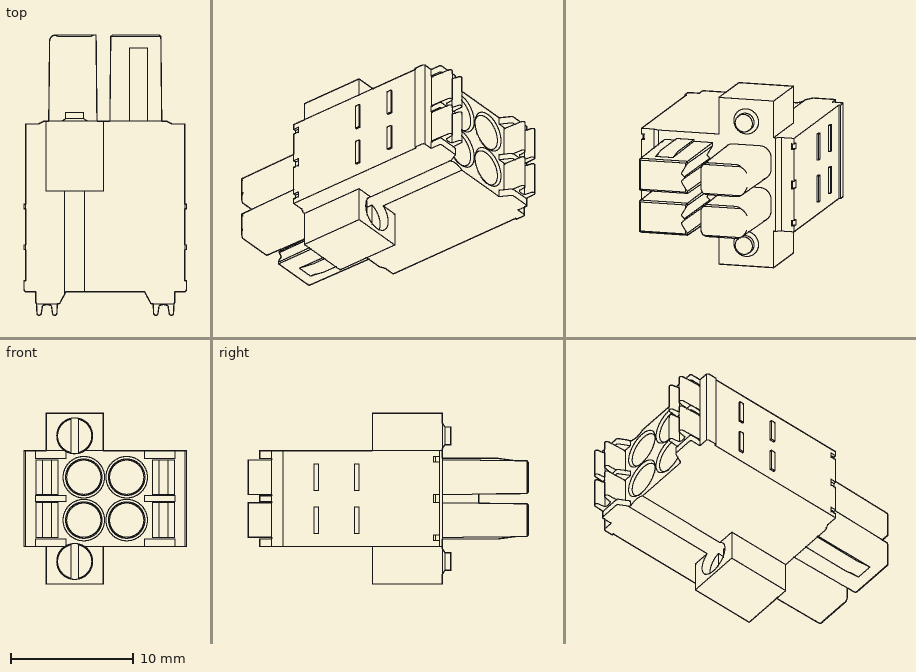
import cadquery as cq
import math

length = 22.95
width = 13.3
height = 14.0

y_front = -length / 2
y_back = length / 2

housing_width = 13.04
housing_height = 7.85
housing_front = -9.55
housing_back = 4.43
shoulder_step = 0.23
shoulder_slope_outer = 5.46
shoulder_slope_inner = 5.0
flange_length = 0.92
flange_round = 0.2

rib_thickness = 0.4
rib_height = 2.18
rib_ys = (-2.57, -5.9)
notch_depth = 0.23
notch_ramp = 0.18
notch_front = 3.7
notches = ((-3.21, 0.45), (0.0, 0.65), (3.21, 0.45))

pitch = 3.5
row_z = pitch / 2
entry_radius = 1.5
entry_mouth_radius = 1.7
entry_floor_radius = 1.4
entry_bore_depth = 1.55
entry_depth = 2.02

tab_outer = 5.7
tab_foot = 3.21
tab_tip = 3.75
tab_front = -10.53
tab_round = 0.14
outer_tab_height = 0.65
middle_tab_height = 0.5

contact_x = 4.77
contact_height = 2.85
fork_root_half_width = 0.92
fork_tip_half_width = 0.83
fork_gap = 0.7
fork_tip_gap = 0.9
fork_gap_edge = -10.7
fork_gap_crown = -10.6

screw_x = -2.5
screw_z = 5.15
block_width = 4.68
block_length = 5.74
bore_radius = 1.47
head_radius = 1.4
head_recess = 0.78
slot_width = 0.65
slot_depth = 0.65
shank_radius = 0.73
shank_end = 5.12
collar_radius = 1.05
collar_length = 0.2

plug_height = 2.85
plug_draft = 0.6
plug_tip_bevel = 0.2
round_plug_left = -4.64
round_plug_right = -0.67
round_plug_left_radius = 0.96
round_plug_right_radius = 0.67
round_plug_tip_radius = 0.5
keyed_plug_left = 0.37
keyed_plug_right = 4.64
keyed_plug_round = 0.28
key_lip = 0.28
key_groove_depth = 0.48
key_groove_offset = 0.35
key_ridge_height = 0.25
key_ridge_half_width = 0.1

latch_x = 2.7
latch_width = 1.47
latch_height = 0.14
latch_ramp_start = 10.4
latch_ramp_end = 8.93
bridge_end = 7.41
bridge_bevel = 0.23

side_x = housing_width / 2
top_z = housing_height / 2
overlap = 0.23


def box(x0, x1, y0, y1, z0, z1):
    return cq.Workplane("XY").box(x1 - x0, y1 - y0, z1 - z0, centered=False).translate((x0, y0, z0))


def plate(points, z_centre, thickness):
    """Prism of an XY outline, centred on a height."""
    outline = cq.Workplane("XY").workplane(offset=z_centre - thickness / 2).polyline(points).close()
    return outline.extrude(thickness)


def rod(x, z, radius, y0, y1):
    return cq.Workplane("XZ", origin=(x, y0, z)).circle(radius).extrude(y0 - y1)


def cone(x, z, radius0, radius1, y0, y1):
    return cq.Workplane(cq.Solid.makeCone(radius0, radius1, y1 - y0, cq.Vector(x, y0, z), cq.Vector(0, 1, 0)))


def both_sides(part):
    return part.union(part.mirror("YZ"))


def make_housing():
    shoulder = housing_back - shoulder_step
    half = [(0, housing_front), (side_x, housing_front), (side_x, shoulder),
            (shoulder_slope_outer, shoulder), (shoulder_slope_inner, housing_back), (0, housing_back)]
    flange = box(-width / 2, width / 2, housing_front, housing_front + flange_length, -top_z, top_z)
    flange = flange.edges("|Z and <Y").fillet(flange_round)
    return both_sides(plate(half, 0, housing_height)).union(flange)


def make_side_ribs():
    """Bars through the housing that stand out of both side walls."""
    ribs = cq.Workplane("XY")
    for y in rib_ys:
        for z in (-row_z, row_z):
            rib = cq.Workplane("XY").box(width, rib_thickness, rib_height)
            ribs = ribs.union(rib.translate((0, y, z)))
    return ribs


def make_side_notches():
    floor_x = side_x - notch_depth
    outline = [(side_x, notch_front), (floor_x, notch_front + notch_ramp),
               (floor_x, housing_back), (side_x, housing_back)]
    cuts = cq.Workplane("XY")
    for z, notch_height in notches:
        cuts = cuts.union(plate(outline, z, notch_height))
    return both_sides(cuts)


def make_entry_holes():
    """Blind holes with a flared mouth and a tapered seat at the floor."""
    mouth_end = housing_front + entry_mouth_radius - entry_radius
    bore_end = housing_front + entry_bore_depth
    floor = housing_front + entry_depth
    holes = cq.Workplane("XY")
    for x in (-pitch / 2, pitch / 2):
        for z in (-row_z, row_z):
            bore = rod(x, z, entry_radius, housing_front, bore_end)
            mouth = cone(x, z, entry_mouth_radius, entry_radius, housing_front, mouth_end)
            seat = cone(x, z, entry_radius, entry_floor_radius, bore_end, floor)
            holes = holes.union(bore).union(mouth).union(seat)
    return holes


def make_tabs():
    root = housing_front + overlap
    outline = [(tab_foot, root), (tab_foot, housing_front), (tab_tip, tab_front),
               (tab_outer, tab_front), (tab_outer, root)]
    outer_z = top_z - outer_tab_height / 2
    tabs = cq.Workplane("XY")
    for z, tab_height in ((-outer_z, outer_tab_height), (0, middle_tab_height), (outer_z, outer_tab_height)):
        tabs = tabs.union(plate(outline, z, tab_height).edges("|Z and <Y").fillet(tab_round))
    return both_sides(tabs)


def make_contacts():
    """Forks with rounded prong tips and a gap whose floor bulges slightly."""
    root = housing_front + overlap
    tip_radius = (fork_tip_half_width - fork_tip_gap / 2) / 2
    tip_start = y_front + tip_radius
    tip_mid = fork_tip_gap / 2 + tip_radius
    contacts = cq.Workplane("XY")
    for z in (-row_z, row_z):
        fork = (
            cq.Workplane("XY", origin=(contact_x, 0, z - contact_height / 2))
            .moveTo(-fork_root_half_width, root)
            .lineTo(-fork_tip_half_width, tip_start)
            .threePointArc((-tip_mid, y_front), (-fork_tip_gap / 2, tip_start))
            .lineTo(-fork_gap / 2, fork_gap_edge)
            .threePointArc((0, fork_gap_crown), (fork_gap / 2, fork_gap_edge))
            .lineTo(fork_tip_gap / 2, tip_start)
            .threePointArc((tip_mid, y_front), (fork_tip_half_width, tip_start))
            .lineTo(fork_root_half_width, root)
            .close()
            .extrude(contact_height)
        )
        contacts = contacts.union(fork)
    return both_sides(contacts)


def add_upper_screw(body):
    """Block on the top wall, its screw bore running to the front as a groove, and the screw."""
    block_front = housing_back - block_length
    head_front = block_front + head_recess
    block = box(screw_x - block_width / 2, screw_x + block_width / 2, block_front, housing_back,
                top_z - overlap, height / 2)
    bore = rod(screw_x, screw_z, bore_radius, tab_front, head_front + slot_depth)
    head = rod(screw_x, screw_z, head_radius, head_front, head_front + slot_depth + overlap)
    slot = box(screw_x - slot_width / 2, screw_x + slot_width / 2, head_front, head_front + slot_depth,
               screw_z - bore_radius, screw_z + bore_radius)
    collar = cone(screw_x, screw_z, collar_radius, shank_radius, housing_back, housing_back + collar_length)
    shank = rod(screw_x, screw_z, shank_radius, housing_back - overlap, shank_end)
    return body.union(block).cut(bore).union(head.cut(slot)).union(collar).union(shank)


def make_plug(outline, tip_limits):
    """Drafted shank of an XZ outline, trimmed to the tip shape."""
    return outline.extrude(housing_back - overlap - y_back, taper=plug_draft).intersect(tip_limits)


def plug_plane():
    return cq.Workplane("XZ", origin=(0, housing_back - overlap, row_z))


def draft_inset(distance):
    """Amount by which a drafted side has moved inwards over a distance."""
    return distance * math.tan(math.radians(plug_draft))


def make_round_plug():
    outline = plug_plane().center((round_plug_left + round_plug_right) / 2, 0)
    half_width = (round_plug_right - round_plug_left) / 2
    half = plug_height / 2
    left_flat = half - round_plug_left_radius
    right_flat = half - round_plug_right_radius
    outline = (
        outline.moveTo(-half_width + round_plug_left_radius, half)
        .lineTo(half_width - round_plug_right_radius, half)
        .radiusArc((half_width, right_flat), round_plug_right_radius)
        .lineTo(half_width, -right_flat)
        .radiusArc((half_width - round_plug_right_radius, -half), round_plug_right_radius)
        .lineTo(-half_width + round_plug_left_radius, -half)
        .radiusArc((-half_width, -left_flat), round_plug_left_radius)
        .lineTo(-half_width, left_flat)
        .radiusArc((-half_width + round_plug_left_radius, half), round_plug_left_radius)
        .close()
    )
    root = housing_back - overlap
    left_tip = round_plug_left + draft_inset(y_back - root)
    limits = plate([(round_plug_left, root), (left_tip, y_back), (round_plug_right, y_back),
                    (round_plug_right, root)], row_z, plug_height)
    left_tip_edge = cq.selectors.NearestToPointSelector((left_tip, y_back, row_z))
    limits = limits.edges(left_tip_edge).fillet(round_plug_tip_radius)
    limits = limits.faces(">Y").edges("|X").chamfer(plug_tip_bevel)
    return make_plug(outline, limits)


def make_keyed_plug():
    """Plug with a grooved and ridged left side, plus its latch."""
    half = plug_height / 2
    groove_x = keyed_plug_left + key_groove_depth
    ridge_x = groove_x - key_ridge_height
    upper = [(keyed_plug_left, half), (keyed_plug_left, half - key_lip),
             (groove_x, key_groove_offset), (ridge_x, key_ridge_half_width)]
    lower = [(x, -z) for x, z in reversed(upper)]
    right_x = keyed_plug_right - keyed_plug_round
    right_z = half - keyed_plug_round
    outline = (
        plug_plane().polyline(upper + lower)
        .lineTo(right_x, -half)
        .radiusArc((keyed_plug_right, -right_z), -keyed_plug_round)
        .lineTo(keyed_plug_right, right_z)
        .radiusArc((right_x, half), -keyed_plug_round)
        .close()
    )
    limits = box(keyed_plug_left, keyed_plug_right, housing_back - overlap, y_back,
                 row_z - half, row_z + half)
    limits = limits.faces(">Y").edges().chamfer(plug_tip_bevel)
    plug = make_plug(outline, limits)

    latch_top = row_z + half + latch_height
    latch_foot = row_z + half - overlap
    ramp_foot = row_z + half - draft_inset(latch_ramp_start - housing_back)
    latch = (
        cq.Workplane("YZ", origin=(latch_x - latch_width / 2, 0, 0))
        .polyline([(housing_back - overlap, latch_foot), (latch_ramp_start, latch_foot),
                   (latch_ramp_start, ramp_foot), (latch_ramp_end, latch_top),
                   (housing_back - overlap, latch_top)])
        .close()
        .extrude(latch_width)
    )
    return plug.union(latch)


def make_bridge():
    """Rib joining the two keyed plugs near their roots."""
    reach = row_z - plug_height / 2 + overlap
    bridge = box(latch_x - latch_width / 2, latch_x + latch_width / 2,
                 housing_back - overlap, bridge_end, -reach, reach)
    return bridge.edges("|Z and >Y and <X").chamfer(bridge_bevel)


def add_mirrored_in_z(body, part):
    return body.union(part).union(part.mirror("XY"))


body = make_housing().union(make_side_ribs()).cut(make_side_notches())
body = body.union(make_tabs()).union(make_contacts()).cut(make_entry_holes())

body = add_upper_screw(body)
body = add_upper_screw(body.mirror("XY"))

body = add_mirrored_in_z(body, make_round_plug())
body = add_mirrored_in_z(body, make_keyed_plug())
result = body.union(make_bridge())